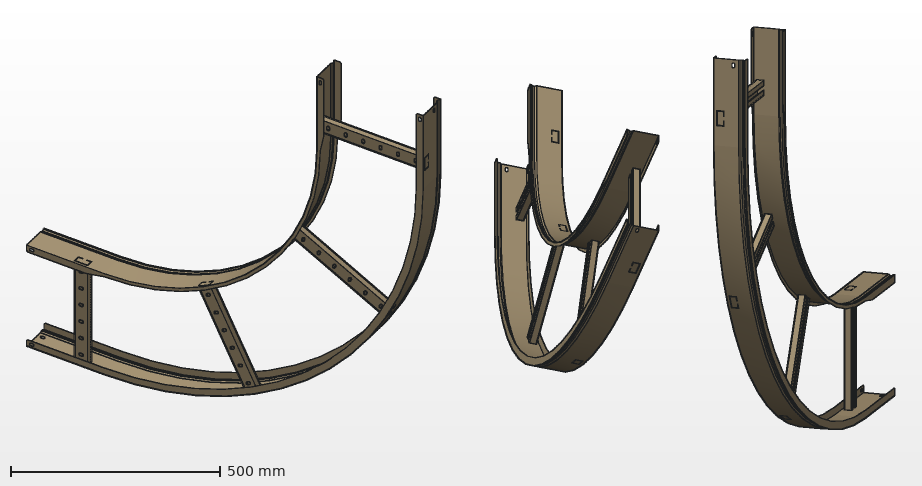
import cadquery as cq

overall_x = 1118.0
overall_z = 1116.0
rail_depth = 80.0
outer_radius = 900.0
ladder_width = 301.0
inner_radius = outer_radius - ladder_width
center_x = overall_x - outer_radius
center_z = outer_radius
left_leg = center_x
upper_leg = overall_z - center_z

rail_sheet = 1.5
flange_width = 20.0
flange_corner = 3.0
bead_margin = 3.0
bead_width = 13.0
bead_slope = 5.0
bead_depth = 3.0

narrow_flange = 10.0
taper_start = 168.0

end_slot_length = 12.0
end_slot_width = 7.0
end_slot_inset = 15.0
end_slot_offset = 10.0
web_slot_y = 50.0

rung_width = 38.0
rung_height = 19.0
rung_sheet = 2.0
rung_lip = 13.0
rung_recess = 8.0
rung_start = inner_radius
rung_end = outer_radius - rail_sheet
rung_inset = 149.0
bend_rung_angle = 27.4
rung_hole_count = 6
rung_hole_pitch = 49.0
rung_hole_length = 12.0
rung_hole_width = 8.0


def bead_line(offset):
    """One side of the web from -Y to +Y, as (distance from the web outside, Y) without its end points."""
    bead_high = rail_depth - bead_margin
    bead_low = bead_high - bead_width
    return [
        (offset, bead_low),
        (offset + bead_depth, bead_low + bead_slope),
        (offset + bead_depth, bead_high - bead_slope),
        (offset, bead_high),
    ]


def rail_section():
    """Channel outline as (distance from the web outside, Y) points."""
    outside = [(0, 0)] + bead_line(0) + [(0, rail_depth)]
    inside = [(rail_sheet, rail_sheet)] + bead_line(rail_sheet) + [(rail_sheet, rail_depth - rail_sheet)]
    upper_edge = [(flange_width, rail_depth), (flange_width, rail_depth - rail_sheet)]
    lower_edge = [(flange_width, rail_sheet), (flange_width, 0)]
    return outside + upper_edge + inside[::-1] + lower_edge


def bend_frame(plane):
    """Workplane on the bend axis."""
    return cq.Workplane(plane, origin=(center_x, 0, center_z))


def plain_rail(web_radius, side):
    """Rail with its two legs; side is +1 for flanges pointing away from the bend axis, -1 towards it."""
    section = [(web_radius + side * offset, y) for offset, y in rail_section()]
    left_section = [(-radius, y) for radius, y in section]
    bend = bend_frame("XY").polyline(section).close().revolve(90, (0, 0, 0), (0, 1, 0))
    upper = bend_frame("XY").polyline(section).close().extrude(upper_leg)
    left = bend_frame("ZY").polyline(left_section).close().extrude(left_leg)
    return bend.union(upper).union(left)


def through_cutter(outline):
    """Prism along Y through the full rail depth, from a closed sketch in the XZ plane."""
    return outline.extrude(-rail_depth)


def with_chamfered_flanges(rail, web_radius, side):
    """Chamfers the corners of both flanges at both rail ends."""
    edge_radius = web_radius + side * flange_width
    chamfer_radius = edge_radius - side * flange_corner
    upper_corner = [
        (edge_radius, upper_leg), (chamfer_radius, upper_leg), (edge_radius, upper_leg - flange_corner),
    ]
    left_corner = [
        (-left_leg, -edge_radius), (-left_leg, -chamfer_radius), (flange_corner - left_leg, -edge_radius),
    ]
    for corner in (upper_corner, left_corner):
        rail = rail.cut(through_cutter(bend_frame("XZ").polyline(corner).close()))
    return rail


def with_flange_slots(rail, web_radius, side):
    """Cuts a slot through the -Y flange at both rail ends."""
    slot_radius = web_radius + side * end_slot_offset
    upper_slot = bend_frame("XZ").center(slot_radius, upper_leg - end_slot_inset)
    left_slot = bend_frame("XZ").center(end_slot_inset - left_leg, -slot_radius)
    rail = rail.cut(upper_slot.slot2D(end_slot_length, end_slot_width, 90).extrude(-rail_sheet))
    return rail.cut(left_slot.slot2D(end_slot_length, end_slot_width, 0).extrude(-rail_sheet))


def with_web_slots(rail):
    """Cuts a slot through the outer rail's web at both rail ends."""
    upper_slot = (
        cq.Workplane("YZ", origin=(overall_x - rail_sheet, web_slot_y, overall_z - end_slot_inset))
        .slot2D(end_slot_length, end_slot_width, 90)
        .extrude(rail_sheet)
    )
    left_slot = (
        cq.Workplane("XY", origin=(end_slot_inset, web_slot_y, 0))
        .slot2D(end_slot_length, end_slot_width, 0)
        .extrude(rail_sheet)
    )
    return rail.cut(upper_slot).cut(left_slot)


def flange_cutback():
    """Material removed from the inner rail's flanges: a ring around the bend with a taper into each leg."""
    narrow_radius = inner_radius + narrow_flange
    full_radius = inner_radius + flange_width
    upper_taper = upper_leg - taper_start
    left_taper = left_leg - taper_start
    diagonal = 0.5 ** 0.5
    outline = (
        bend_frame("XZ")
        .moveTo(full_radius, upper_taper)
        .lineTo(narrow_radius, 0)
        .threePointArc((narrow_radius * diagonal, -narrow_radius * diagonal), (0, -narrow_radius))
        .lineTo(-left_taper, -full_radius)
        .lineTo(0, -full_radius)
        .threePointArc((full_radius * diagonal, -full_radius * diagonal), (full_radius, 0))
        .close()
    )
    return through_cutter(outline)


def make_inner_rail():
    rail = plain_rail(inner_radius, 1).cut(flange_cutback())
    rail = with_chamfered_flanges(rail, inner_radius, 1)
    return with_flange_slots(rail, inner_radius, 1)


def make_outer_rail():
    rail = plain_rail(outer_radius, -1)
    rail = with_chamfered_flanges(rail, outer_radius, -1)
    rail = with_flange_slots(rail, outer_radius, -1)
    return with_web_slots(rail)


def make_rung():
    """Lipped channel along +X that opens towards +Y, in place for a bend axis at the origin."""
    half = rung_width / 2
    inner_half = half - rung_sheet
    lip_half = half - rung_lip
    inner_height = rung_height - rung_sheet
    right_side = [
        (half, 0), (half, rung_height), (lip_half, rung_height),
        (lip_half, inner_height), (inner_half, inner_height), (inner_half, rung_sheet),
    ]
    left_side = [(-across, y) for across, y in right_side[::-1]]
    rung = (
        cq.Workplane("YZ", origin=(rung_start, rung_recess, 0))
        .polyline([(y, across) for across, y in right_side + left_side])
        .close()
        .extrude(rung_end - rung_start)
    )
    holes = (
        cq.Workplane("XZ", origin=(outer_radius - ladder_width / 2, rung_recess, 0))
        .rarray(rung_hole_pitch, 11, rung_hole_count, 1)
        .slot2D(rung_hole_length, rung_hole_width, 90)
        .extrude(-rung_sheet)
    )
    return rung.cut(holes)


def place_rung(angle, along_x, along_z):
    """Rung turned about the bend axis, then moved along a leg."""
    rung = make_rung().rotate((0, 0, 0), (0, 1, 0), angle)
    return rung.translate((center_x + along_x, 0, center_z + along_z))


inner_rail = make_inner_rail()
outer_rail = make_outer_rail()

rung_places = [
    (0, 0, upper_leg - rung_inset),
    (bend_rung_angle, 0, 0),
    (90 - bend_rung_angle, 0, 0),
    (90, rung_inset - left_leg, 0),
]
rungs = [place_rung(*place).cut(inner_rail).cut(outer_rail) for place in rung_places]

result = cq.Compound.makeCompound([
    inner_rail.solids().val(),
    outer_rail.solids().val(),
    *[rung.solids().val() for rung in rungs],
])